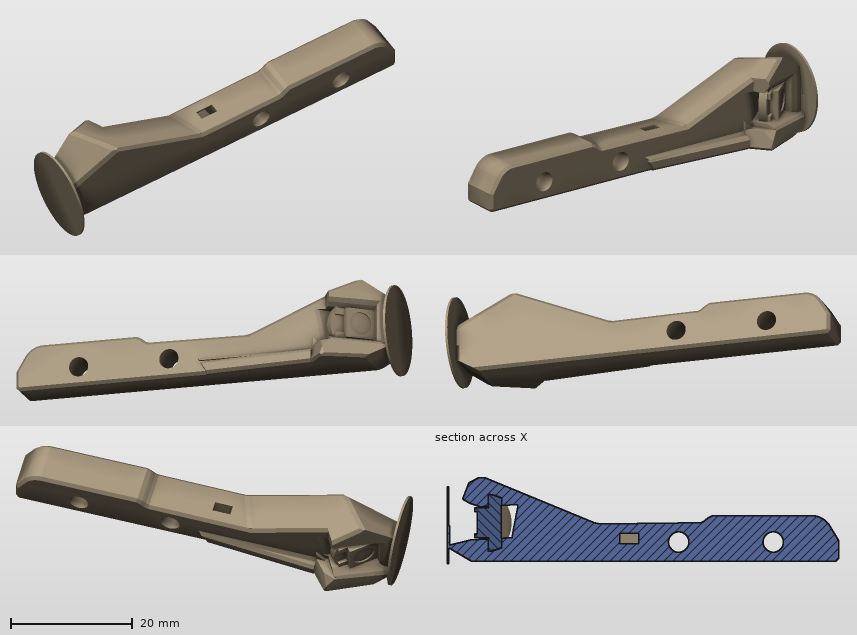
import cadquery as cq
import math

LENGTH = 64.35
BEVEL = 0.5
FAR = 128.7

DISC_DIAMETER = 15.0
DISC_THICKNESS = 0.4

ARM_LEFT = -4.75
ARM_RIGHT = 2.2
ARM_BOTTOM = -5.9
NECK_TOP = 0.3
NECK_FRONT_TOP = -0.05
NECK_REAR_TOP = 0.45
GRIP_TOP = 1.6
STEP_TOP_Y = 43.65
STEP_UPPER = (42.85, 1.2)
STEP_LOWER = (42.2, 0.7)
STEP_BASE_Y = 41.7
TAIL_ARC_START_Y = 60.1
TAIL_ARC_MIDDLE = (61.65, 1.1)
TAIL_ARC_END = (62.75, 0.05)
TAIL_SLANT_BASE_Z = -2.6
HOLE_DIAMETER = 3.3
HOLE_Z = -2.75
HOLE_YS = (38.05, 53.55)

CABLE_CENTRE_X = -4.7
CABLE_CENTRE_Z = 0.8
CABLE_INNER_RADIUS = 2.25
CABLE_OUTER_RADIUS = 3.85
CABLE_FRONT_Y = 28.4
CABLE_LENGTH = 3.0

HEAD_REAR_Y = 28.95
HEAD_BASE_Z = -1.3
HEAD_PEAK_Z = 10.3
CREASE_FILL = 0.05
CREASE_FRONT_Y = 21.25
SLOPE_POINT = cq.Vector(ARM_RIGHT, 26.7, NECK_TOP)
SLOPE_NORMAL = cq.Vector(-0.15, 0.412, 1).normalized()
FRONT_POINT = cq.Vector(-4.65, 5.55, 8.3)
FRONT_NORMAL = cq.Vector(0.53, -0.5, 1).normalized()
FACE_POINT = cq.Vector(-8.8, 9.15, -5.5)
FACE_LEAN_Y = 0.467
FACE_LEAN_Z = 0.18
FACE_NORMAL = cq.Vector(-1, -FACE_LEAN_Y, FACE_LEAN_Z).normalized()
UP_NORMAL = cq.Vector(0, 0, 1)
CHIN_POINT = cq.Vector(0, 4.0, ARM_BOTTOM)
CHIN_NORMAL = cq.Vector(0, -0.59, -1).normalized()
LEFT_NORMAL = cq.Vector(-1, 0, 0)
RIGHT_NORMAL = cq.Vector(1, 0, 0)
DOWN_NORMAL = cq.Vector(0, 0, -1)

BROW_ROOT_X = -3.2
BROW_LEFT = -8.05
BROW_REAR_AT_ARM = (-4.5, 11.25)
BROW_REAR_SLOPE = 0.57

LIP_LEFT = -9.17
LIP_TOP = -2.8
LIP_TIP_Y = 10.95
LIP_REAR_X = -6.55
LIP_REAR_Y = 13.1
LIP_REAR_RISE = 0.3
GUSSET_LEFT = -5.3
GUSSET_TOP = -1.4
GUSSET_FRONT_Y = 11.6
LIP_SHOULDER_POINT = cq.Vector(-8.95, 10.3, -4.05)
LIP_SHOULDER_NORMAL = cq.Vector(-1.1, 0.4, 1).normalized()
FIN_TOP = -3.7
FIN_COVE_TOP = -3.15
FIN_END_X = -5.1
FIN_END_Y = 32.1
FIN_END_POINT = cq.Vector(ARM_LEFT, 33.15, FIN_COVE_TOP)
FIN_END_NORMAL = cq.Vector(-0.5, 1, -0.63).normalized()

LENS_CENTRE = cq.Vector(-4.5, 5.15, 0.4)
CAMERA_TURN = math.radians(40)
CAMERA_OUTWARD = cq.Vector(-math.cos(CAMERA_TURN), -math.sin(CAMERA_TURN), 0)
CAMERA_FORWARD = cq.Vector(math.sin(CAMERA_TURN), -math.cos(CAMERA_TURN), 0)
CAMERA_PLANE = cq.Plane(LENS_CENTRE, CAMERA_FORWARD, CAMERA_OUTWARD)
LENS_DIAMETER = 3.8
LENS_RECESS = 0.25
BLOCK_SIDE = 5.0
BLOCK_HEIGHT = 1.5
BOARD_DIAMETER = 9.5
BOARD_THICKNESS = 1.35
PAD_LENGTH = 1.55
PAD_WIDTH = 1.0
PAD_HEIGHT = 0.5

POCKET_DEPTH = 4.3
POCKET_WALL_RISE = 0.95
POCKET_FLARE_END = (-3.75, 1.55)
POCKET_FRAME_END = (-3.4, 0.5)
POCKET_RISE = 0.07
POCKET_REACH = 25.75
MOUTH_BOTTOM = (-0.6, -3.3)
MOUTH_LOWER_BEVEL = (-0.05, -2.8)
CHANNEL_BOTTOM = (1.3, -2.25)
CHANNEL_TOP = (1.9, 3.0)
MOUTH_UPPER_BEVEL = (1.2, 3.7)
MOUTH_TOP = (0.7, 4.45)
POCKET_LOW_Z = -3.55
POCKET_HIGH_Z = 5.15
POCKET_REAR_LOW_Y = 10.95
POCKET_REAR_HIGH_Y = 12.6
POCKET_REAR_X = -4.5
POCKET_REAR_FLARE_Y = 0.7


def beyond(point, normal):
    """A large block on the outer side of a plane."""
    return cq.Workplane(cq.Plane(point, normal=normal)).rect(FAR, FAR).extrude(FAR)


def bevel(edge_point, normal_a, normal_b):
    """A trimming block that bevels the edge where two outer planes meet."""
    inset = BEVEL * (normal_a - normal_b).Length / 2
    outward = (normal_a + normal_b).normalized()
    return beyond(edge_point - outward * inset, outward)


def meeting_point(planes):
    """The point where three planes, each a (point, normal) pair, meet."""
    (p1, n1), (p2, n2), (p3, n3) = planes
    total = n2.cross(n3) * p1.dot(n1) + n3.cross(n1) * p2.dot(n2) + n1.cross(n2) * p3.dot(n3)
    return total * (1 / n1.dot(n2.cross(n3)))


def slab(points, low, high):
    """A plan outline raised between two heights."""
    return cq.Workplane("XY").workplane(offset=low).polyline(points).close().extrude(high - low)


def trim(body, cutters):
    for cutter in cutters:
        body = body.cut(cutter)
    return body


SLOPE = (SLOPE_POINT, SLOPE_NORMAL)
FRONT = (FRONT_POINT, FRONT_NORMAL)
FACE = (FACE_POINT, FACE_NORMAL)
LEFT = (cq.Vector(ARM_LEFT, 0, 0), LEFT_NORMAL)
RIGHT = (cq.Vector(ARM_RIGHT, 0, 0), RIGHT_NORMAL)
BOTTOM = (cq.Vector(0, 0, ARM_BOTTOM), DOWN_NORMAL)


def crown_cutters():
    """Trims the two roof planes of the head and the ridge between them."""
    ridge_point = meeting_point([SLOPE, FRONT, LEFT])
    return [beyond(*SLOPE), beyond(*FRONT), bevel(ridge_point, SLOPE_NORMAL, FRONT_NORMAL)]


def straight_arm():
    arm = (
        cq.Workplane("YZ", origin=(ARM_LEFT, 0, 0))
        .moveTo(DISC_THICKNESS, ARM_BOTTOM)
        .lineTo(LENGTH - BEVEL, ARM_BOTTOM)
        .lineTo(LENGTH, ARM_BOTTOM + BEVEL)
        .lineTo(LENGTH, TAIL_SLANT_BASE_Z)
        .lineTo(*TAIL_ARC_END)
        .threePointArc(TAIL_ARC_MIDDLE, (TAIL_ARC_START_Y, GRIP_TOP))
        .lineTo(STEP_TOP_Y, GRIP_TOP)
        .lineTo(*STEP_UPPER)
        .lineTo(*STEP_LOWER)
        .lineTo(STEP_BASE_Y, NECK_REAR_TOP)
        .lineTo(DISC_THICKNESS, NECK_FRONT_TOP)
        .close()
        .extrude(ARM_RIGHT - ARM_LEFT)
    )
    arm = arm.faces("<X or >X").edges().chamfer(BEVEL)
    holes = (
        cq.Workplane("YZ", origin=(ARM_LEFT, 0, 0))
        .pushPoints([(y, HOLE_Z) for y in HOLE_YS])
        .circle(HOLE_DIAMETER / 2)
        .extrude(ARM_RIGHT - ARM_LEFT)
    )
    return arm.cut(holes)


def cable_passage():
    """A quarter-ring channel with a rectangular section."""
    ring = (
        cq.Workplane("XZ", origin=(CABLE_CENTRE_X, CABLE_FRONT_Y, CABLE_CENTRE_Z))
        .circle(CABLE_OUTER_RADIUS)
        .circle(CABLE_INNER_RADIUS)
        .extrude(-CABLE_LENGTH)
    )
    quarter = cq.Workplane("XY").box(
        CABLE_OUTER_RADIUS, CABLE_LENGTH, CABLE_OUTER_RADIUS, centered=False
    ).translate((CABLE_CENTRE_X, CABLE_FRONT_Y, CABLE_CENTRE_Z - CABLE_OUTER_RADIUS))
    return ring.intersect(quarter)


def neck():
    outline = [
        (ARM_LEFT, DISC_THICKNESS),
        (ARM_RIGHT, DISC_THICKNESS),
        (ARM_RIGHT, HEAD_REAR_Y),
        (ARM_LEFT, HEAD_REAR_Y),
    ]
    edge_bevels = [
        bevel(meeting_point([roof, side, FACE]), roof[1], side[1])
        for roof, side in ((SLOPE, LEFT), (SLOPE, RIGHT), (FRONT, RIGHT))
    ]
    body = slab(outline, HEAD_BASE_Z, HEAD_PEAK_Z)
    return trim(body, crown_cutters() + edge_bevels + [beyond(*FACE)])


def crease_fill():
    """Softens the inner corner between the neck top and the sloping roof."""
    left = ARM_LEFT + BEVEL
    right = ARM_RIGHT - BEVEL
    outline = [
        (left, CREASE_FRONT_Y),
        (right, CREASE_FRONT_Y),
        (right, HEAD_REAR_Y),
        (left, HEAD_REAR_Y),
    ]
    crease_point = SLOPE_POINT + UP_NORMAL * CREASE_FILL
    outward = (SLOPE_NORMAL + UP_NORMAL).normalized()
    return slab(outline, HEAD_BASE_Z, HEAD_PEAK_Z).cut(beyond(crease_point, outward))


def brow():
    rear_x, rear_y = BROW_REAR_AT_ARM
    outline = [
        (BROW_ROOT_X, DISC_THICKNESS),
        (BROW_ROOT_X, rear_y),
        (rear_x, rear_y),
        (BROW_LEFT, rear_y - BROW_REAR_SLOPE * (rear_x - BROW_LEFT)),
        (BROW_LEFT, DISC_THICKNESS),
    ]
    peak = meeting_point([SLOPE, FRONT, FACE])
    face_bevels = [bevel(peak, roof[1], FACE_NORMAL) for roof in (SLOPE, FRONT)]
    body = slab(outline, LIP_TOP, HEAD_PEAK_Z)
    return trim(body, crown_cutters() + [beyond(*FACE)] + face_bevels)


def lip():
    outline = [
        (BROW_ROOT_X, DISC_THICKNESS),
        (BROW_ROOT_X, LIP_REAR_Y),
        (LIP_REAR_X, LIP_REAR_Y),
        (LIP_LEFT, LIP_TIP_Y),
        (LIP_LEFT, DISC_THICKNESS),
    ]
    rear_flat = cq.Vector(LIP_TIP_Y - LIP_REAR_Y, LIP_REAR_X - LIP_LEFT, 0).normalized()
    rear_normal = (rear_flat + UP_NORMAL * LIP_REAR_RISE).normalized()
    corner = cq.Vector(LIP_LEFT, LIP_TIP_Y, ARM_BOTTOM)
    bottom_bevels = [
        bevel(meeting_point([FACE, BOTTOM, LEFT]), FACE_NORMAL, DOWN_NORMAL),
        bevel(corner, rear_normal, DOWN_NORMAL),
    ]
    shoulder = beyond(LIP_SHOULDER_POINT, LIP_SHOULDER_NORMAL)
    body = slab(outline, ARM_BOTTOM, LIP_TOP)
    return trim(body, [beyond(*FACE), beyond(corner, rear_normal), shoulder] + bottom_bevels)


def gusset():
    """A small triangular web between the rear of the lip and the arm wall."""
    return (
        cq.Workplane("YZ", origin=(GUSSET_LEFT, 0, 0))
        .polyline([(LIP_REAR_Y, FIN_TOP), (LIP_REAR_Y, GUSSET_TOP), (GUSSET_FRONT_Y, LIP_TOP)])
        .close()
        .extrude(BROW_ROOT_X - GUSSET_LEFT)
    )


def fin():
    """A tapered rail along the left side, with a cove where it meets the arm."""
    taper = (FIN_END_X - LIP_REAR_X) / (FIN_END_Y - LIP_REAR_Y)
    tip_y = FIN_END_POINT.y
    outline = [
        (BROW_ROOT_X, LIP_REAR_Y),
        (LIP_REAR_X, LIP_REAR_Y),
        (FIN_END_X + taper * (tip_y - FIN_END_Y), tip_y),
        (BROW_ROOT_X, tip_y),
    ]
    outer_normal = cq.Vector(-1, taper, 0).normalized()
    outer_low = cq.Vector(LIP_REAR_X, LIP_REAR_Y, ARM_BOTTOM)
    outer_high = cq.Vector(LIP_REAR_X, LIP_REAR_Y, FIN_TOP)
    rail = trim(
        slab(outline, ARM_BOTTOM, FIN_TOP),
        [
            bevel(outer_low, outer_normal, DOWN_NORMAL),
            bevel(outer_high, outer_normal, UP_NORMAL),
        ],
    )
    cove_rise = FIN_COVE_TOP - FIN_TOP
    cove = (
        cq.Workplane("XZ", origin=(ARM_LEFT, LIP_REAR_Y, FIN_TOP))
        .polyline([(-cove_rise, 0), (0, cove_rise), (cove_rise, 0)])
        .close()
        .extrude(LIP_REAR_Y - tip_y)
    )
    return rail.union(cove).cut(beyond(FIN_END_POINT, FIN_END_NORMAL))


def base_disc():
    return cq.Workplane("XZ").circle(DISC_DIAMETER / 2).extrude(-DISC_THICKNESS)


def camera_point(forward, outward):
    """Plan position of a point given in the camera's frame."""
    point = LENS_CENTRE + CAMERA_FORWARD * forward + CAMERA_OUTWARD * outward
    return (point.x, point.y)


def camera_blank():
    board = (
        cq.Workplane(CAMERA_PLANE)
        .workplane(offset=-BLOCK_HEIGHT - BOARD_THICKNESS)
        .circle(BOARD_DIAMETER / 2)
        .extrude(BOARD_THICKNESS)
    )
    block = (
        cq.Workplane(CAMERA_PLANE)
        .workplane(offset=-BLOCK_HEIGHT)
        .rect(BLOCK_SIDE, BLOCK_SIDE)
        .extrude(BLOCK_HEIGHT)
    )
    pad_x = -(BLOCK_SIDE + PAD_LENGTH) / 2
    pad_y = (BLOCK_SIDE - PAD_WIDTH) / 2
    pads = (
        cq.Workplane(CAMERA_PLANE)
        .workplane(offset=-BLOCK_HEIGHT)
        .pushPoints([(pad_x, pad_y), (pad_x, -pad_y)])
        .rect(PAD_LENGTH, PAD_WIDTH)
        .extrude(PAD_HEIGHT)
    )
    return board.union(block).union(pads)


def camera():
    lens = cq.Workplane(CAMERA_PLANE).circle(LENS_DIAMETER / 2).extrude(-LENS_RECESS)
    return camera_blank().cut(lens)


def pocket_plan(rear_y):
    wall = BLOCK_SIDE / 2
    return [
        camera_point(wall, -POCKET_DEPTH),
        camera_point(wall, POCKET_WALL_RISE),
        POCKET_FLARE_END,
        POCKET_FRAME_END,
        (2 * LIP_LEFT, POCKET_FRAME_END[1]),
        (2 * LIP_LEFT, rear_y + POCKET_REAR_FLARE_Y),
        (ARM_LEFT, rear_y + POCKET_REAR_FLARE_Y),
        (POCKET_REAR_X, rear_y),
    ]


def camera_pocket():
    plan = (
        cq.Workplane("XY", origin=(0, 0, POCKET_LOW_Z))
        .polyline(pocket_plan(POCKET_REAR_LOW_Y))
        .close()
        .workplane(offset=POCKET_HIGH_Z - POCKET_LOW_Z)
        .polyline(pocket_plan(POCKET_REAR_HIGH_Y))
        .close()
        .loft(ruled=True)
    )
    inward = cq.Vector(1, FACE_LEAN_Y, 0).normalized()
    along = cq.Vector(FACE_LEAN_Y, -1, -POCKET_RISE).normalized()
    mouth_x = FACE_POINT.x - FACE_LEAN_Y * (LENS_CENTRE.y - FACE_POINT.y) - FACE_LEAN_Z * FACE_POINT.z
    mouth = cq.Workplane(cq.Plane((mouth_x, LENS_CENTRE.y, 0), inward, along))
    section = [
        (-POCKET_REACH, MOUTH_BOTTOM[1]),
        MOUTH_BOTTOM,
        MOUTH_LOWER_BEVEL,
        CHANNEL_BOTTOM,
        (POCKET_REACH, CHANNEL_BOTTOM[1]),
        (POCKET_REACH, CHANNEL_TOP[1]),
        CHANNEL_TOP,
        MOUTH_UPPER_BEVEL,
        MOUTH_TOP,
        (-POCKET_REACH, MOUTH_TOP[1]),
    ]
    channel = mouth.polyline(section).close().extrude(POCKET_REACH, both=True)
    return plan.intersect(channel)


def holder():
    body = straight_arm()
    for piece in (neck(), crease_fill(), brow(), lip(), gusset(), fin()):
        body = body.union(piece)
    body = body.cut(beyond(CHIN_POINT, CHIN_NORMAL))
    body = body.cut(camera_pocket()).cut(camera_blank()).cut(cable_passage())
    return body.union(base_disc())


result = cq.Compound.makeCompound([holder().val(), camera().val()])